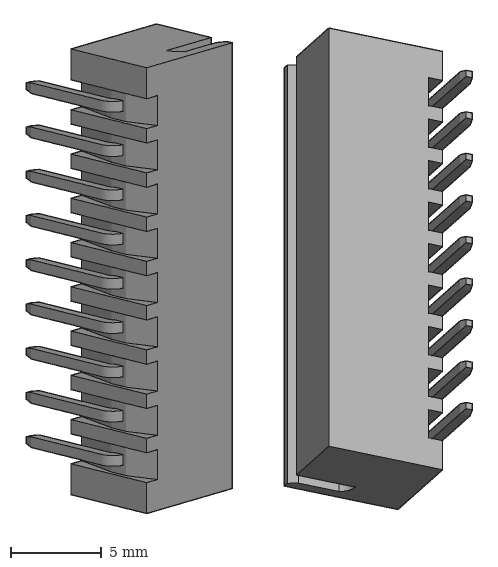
import cadquery as cq
import math

housing_length = 25.58
housing_width = 5.7
housing_depth = 6.98

contact_count = 9
end_margin = 2.63
contact_size = 0.61
contact_overhang_x = 3.02
contact_overhang_y = 0.49
bend_outer_radius = 0.95
contact_leg_x = 3.68
contact_embed = 1.53
tip_length = 0.5
tip_size = 0.38

pocket_height = 1.71
pocket_edge_depth = 0.87
pocket_land_depth = 0.28
land_start_x = 2.81
land_end_x = 3.9

slot_start_x = 4.12
lip_thickness = 0.7
slot_depth = 3.6
slot_floor_radius = 1.0
lip_bevel_width = 0.28
lip_bevel_height = 0.55

bend_inner_radius = bend_outer_radius - contact_size
contact_pitch = (housing_length - 2 * end_margin) / (contact_count - 1)
first_contact_z = end_margin - housing_length / 2
contact_levels = [first_contact_z + contact_pitch * i for i in range(contact_count)]


def extrude_centred(outline, height):
    """Extrude an XY outline by the same amount above and below the XY plane."""
    return outline.extrude(height / 2, both=True)


def make_housing():
    return extrude_centred(
        cq.Workplane("XY").rect(housing_width, housing_depth, centered=False), housing_length
    )


def make_latch_slot():
    """Full-length slot with a bevelled lip; its floor arc starts level and rises to the lip."""
    lip_x = housing_width - lip_thickness
    floor_y = housing_depth - slot_depth
    floor_angle = math.asin((lip_x - slot_start_x) / slot_floor_radius)
    corner_rise = slot_floor_radius * (1 - math.cos(floor_angle))
    outline = (
        cq.Workplane("XY")
        .moveTo(slot_start_x, housing_depth)
        .lineTo(slot_start_x, floor_y)
        .radiusArc((lip_x, floor_y + corner_rise), -slot_floor_radius)
        .lineTo(lip_x, housing_depth - lip_bevel_height)
        .lineTo(lip_x + lip_bevel_width, housing_depth)
        .close()
    )
    return extrude_centred(outline, housing_length)


def make_pocket():
    """Pocket whose floor slopes deeper from a raised land to both housing sides."""
    outline = cq.Workplane("XY").polyline([
        (0, 0),
        (0, pocket_edge_depth),
        (land_start_x, pocket_land_depth),
        (land_end_x, pocket_land_depth),
        (housing_width, pocket_edge_depth),
        (housing_width, 0),
    ]).close()
    return extrude_centred(outline, pocket_height)


def make_contact():
    """Square contact with a tapered tip, bent from the X direction into the housing."""
    outer_y = -contact_overhang_y
    inner_y = outer_y + contact_size
    shaft_start_x = tip_length - contact_overhang_x
    bend_x = contact_leg_x - bend_outer_radius
    bend_y = outer_y + bend_outer_radius
    shaft_outline = (
        cq.Workplane("XY")
        .moveTo(shaft_start_x, outer_y)
        .lineTo(bend_x, outer_y)
        .radiusArc((contact_leg_x, bend_y), -bend_outer_radius)
        .lineTo(contact_leg_x, contact_embed)
        .lineTo(contact_leg_x - contact_size, contact_embed)
        .lineTo(contact_leg_x - contact_size, bend_y)
        .radiusArc((bend_x, inner_y), bend_inner_radius)
        .lineTo(shaft_start_x, inner_y)
        .close()
    )
    shaft = extrude_centred(shaft_outline, contact_size)
    tip = (
        cq.Workplane("YZ", origin=(shaft_start_x, (outer_y + inner_y) / 2, 0))
        .rect(contact_size, contact_size)
        .workplane(offset=-tip_length)
        .rect(tip_size, tip_size)
        .loft(ruled=True)
    )
    return shaft.union(tip)


result = make_housing().cut(make_latch_slot())
pocket = make_pocket()
contact = make_contact()
for level in contact_levels:
    result = result.cut(pocket.translate((0, 0, level)))
    result = result.union(contact.translate((0, 0, level)))